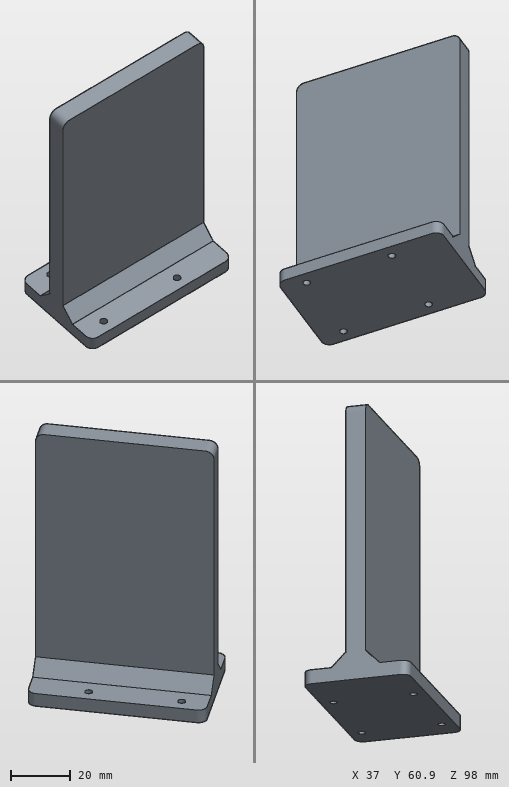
import cadquery as cq

part_length = 60.91
overall_height = 98.0

base_width = 37.0
base_thickness = 5.0
base_corner_radius = 3.0

upright_thickness = 7.0
upright_corner_radius = 3.0
upright_height = overall_height - base_thickness

gusset_leg = 5.0

hole_diameter = 2.54
hole_spacing_x = 28.0
hole_spacing_y = 31.75
hole_front_inset = 9.0
hole_pattern_center_y = -part_length / 2 + hole_front_inset + hole_spacing_y / 2


def make_base():
    """Flat base plate with rounded vertical corners, its bottom at Z = 0."""
    plate = cq.Workplane("XY").box(base_width, part_length, base_thickness, centered=(True, True, False))
    return plate.edges("|Z").fillet(base_corner_radius)


def make_upright():
    """Wall standing on the middle of the base, with its two top corners rounded."""
    wall = (
        cq.Workplane("XY")
        .workplane(offset=base_thickness)
        .box(upright_thickness, part_length, upright_height, centered=(True, True, False))
    )
    return wall.edges(">Z and |X").fillet(upright_corner_radius)


def make_gusset(side):
    """45 degree gusset in the corner of wall and base; side is -1 or +1 along X."""
    wall_face = side * upright_thickness / 2
    profile = [
        (wall_face, base_thickness),
        (wall_face + side * gusset_leg, base_thickness),
        (wall_face, base_thickness + gusset_leg),
    ]
    return cq.Workplane("XZ").polyline(profile).close().extrude(part_length / 2, both=True)


def make_mounting_holes():
    """Cutters for the four holes through the base."""
    return (
        cq.Workplane("XY")
        .center(0, hole_pattern_center_y)
        .rarray(hole_spacing_x, hole_spacing_y, 2, 2)
        .circle(hole_diameter / 2)
        .extrude(base_thickness)
    )


result = make_base().union(make_upright())
for side in (-1, 1):
    result = result.union(make_gusset(side))
result = result.cut(make_mounting_holes())